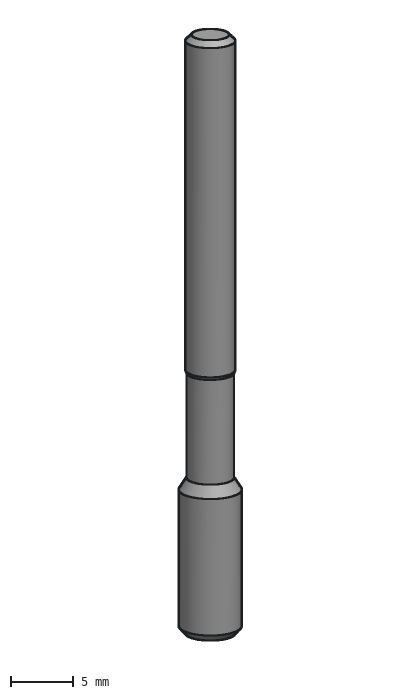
import cadquery as cq

total_length = 50.0
head_diameter = 5.05
neck_diameter = 3.8
shank_diameter = 4.0

head_radius = head_diameter / 2
neck_radius = neck_diameter / 2
shank_radius = shank_diameter / 2

base_radius = 2.0
base_chamfer_height = 0.6
head_cone_start = 12.0
head_cone_end = 13.0
shank_cone_start = 21.75
shank_cone_end = 22.0
tip_chamfer = 0.5

half_profile = [
    (0, 0),
    (base_radius, 0),
    (head_radius, base_chamfer_height),
    (head_radius, head_cone_start),
    (neck_radius, head_cone_end),
    (neck_radius, shank_cone_start),
    (shank_radius, shank_cone_end),
    (shank_radius, total_length - tip_chamfer),
    (shank_radius - tip_chamfer, total_length),
    (0, total_length),
]

result = cq.Workplane("XZ").polyline(half_profile).close().revolve(360, (0, 0, 0), (0, 1, 0))